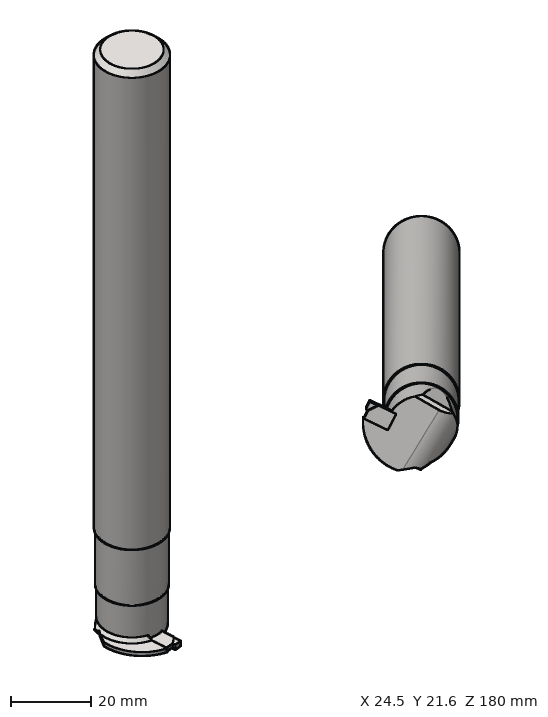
import cadquery as cq

TOTAL_LENGTH = 180
SHANK_DIAMETER = 19.0
NECK_DIAMETER = 18.5
HEAD_DIAMETER = 18
SHANK_BOTTOM = 30.6
NECK_BOTTOM = 13.0
TOP_CHAMFER = 1.6

PLATE_BOTTOM = 0.5
PLATE_TOP = 1.8
PLATE_RADIUS = 13.1
PLATE_CENTER_X = 2.3
PLATE_CENTER_Y = 1.0
ROOT_FLARE = 1.0
PLATE_END_INNER = (-3.6, -9)
PLATE_END_OUTER = (0, -11.9)

INSERT_INNER_X = 7.5
INSERT_OUTER_X = 14.2
INSERT_BACK_Y = 1.0
INSERT_WIDTH = 4.7
INSERT_FRONT_Y = INSERT_BACK_Y - INSERT_WIDTH
INSERT_ANGLE = -4
TIP_REACH = 15.0
TIP_WIDTH = 2.2
TIP_TOP = PLATE_TOP - 0.2
TIP_LENGTH = 1.6

ROUND_TOP = 8.0
ROUND_MIDDLE = (-6.0, 2.3)
ROUND_END_X = -1.0
BACK_RELIEF_TOP = 11.7
BACK_RELIEF_MIDDLE = (8.0, 1.8)
BACK_RELIEF_END_Y = 6.8

CUT_MARGIN = 9


def cylinder_between(diameter, bottom, top):
    return cq.Workplane("XY").workplane(offset=bottom).circle(diameter / 2).extrude(top - bottom)


def make_stepped_bar():
    shank = cylinder_between(SHANK_DIAMETER, SHANK_BOTTOM, TOTAL_LENGTH)
    shank = shank.faces(">Z").chamfer(TOP_CHAMFER)
    neck = cylinder_between(NECK_DIAMETER, NECK_BOTTOM, SHANK_BOTTOM)
    head = cylinder_between(HEAD_DIAMETER, PLATE_BOTTOM, NECK_BOTTOM)
    return shank.union(neck).union(head)


def make_plate():
    disc = (
        cq.Workplane("XY")
        .workplane(offset=PLATE_BOTTOM)
        .center(PLATE_CENTER_X, PLATE_CENTER_Y)
        .circle(PLATE_RADIUS)
        .extrude(PLATE_TOP - PLATE_BOTTOM)
    )
    root = (
        cq.Workplane("XY")
        .workplane(offset=PLATE_TOP)
        .circle(HEAD_DIAMETER / 2 + ROOT_FLARE)
        .workplane(offset=ROOT_FLARE)
        .circle(HEAD_DIAMETER / 2)
        .loft(ruled=True)
    )
    front_side = (
        cq.Workplane("XY")
        .box(4 * PLATE_RADIUS, 2 * PLATE_RADIUS, 2 * NECK_BOTTOM)
        .translate((0, INSERT_FRONT_Y - PLATE_RADIUS, 0))
        .rotate((0, 0, 0), (0, 0, 1), INSERT_ANGLE)
    )
    end_trim = (
        cq.Workplane("XY")
        .moveTo(*PLATE_END_INNER)
        .lineTo(*PLATE_END_OUTER)
        .lineTo(PLATE_END_OUTER[0], -2 * PLATE_RADIUS)
        .lineTo(-2 * PLATE_RADIUS, -2 * PLATE_RADIUS)
        .lineTo(-2 * PLATE_RADIUS, PLATE_END_INNER[1])
        .close()
        .extrude(NECK_BOTTOM)
    )
    return disc.union(root).intersect(front_side).cut(end_trim)


def make_round_relief():
    """Rounded heel removed from the -X side of the lower end."""
    outer_x = -SHANK_DIAMETER / 2 - CUT_MARGIN
    return (
        cq.Workplane("XZ")
        .moveTo(-HEAD_DIAMETER / 2, ROUND_TOP)
        .threePointArc(ROUND_MIDDLE, (ROUND_END_X, PLATE_BOTTOM))
        .lineTo(ROUND_END_X, -CUT_MARGIN)
        .lineTo(outer_x, -CUT_MARGIN)
        .lineTo(outer_x, ROUND_TOP)
        .close()
        .extrude(SHANK_DIAMETER, both=True)
    )


def make_back_relief():
    """Sloping clearance removed from the +Y side of the head."""
    outer_y = SHANK_DIAMETER / 2 + CUT_MARGIN
    return (
        cq.Workplane("YZ")
        .moveTo(HEAD_DIAMETER / 2, BACK_RELIEF_TOP)
        .lineTo(*BACK_RELIEF_MIDDLE)
        .lineTo(BACK_RELIEF_END_Y, PLATE_BOTTOM)
        .lineTo(BACK_RELIEF_END_Y, -CUT_MARGIN)
        .lineTo(outer_y, -CUT_MARGIN)
        .lineTo(outer_y, BACK_RELIEF_TOP)
        .close()
        .extrude(SHANK_DIAMETER, both=True)
    )


def make_insert():
    """Flat blade with a cutting tip set slightly lower than the blade."""
    blade = (
        cq.Workplane("XY")
        .workplane(offset=PLATE_BOTTOM)
        .moveTo(INSERT_INNER_X, INSERT_BACK_Y)
        .lineTo(INSERT_OUTER_X - TIP_LENGTH, INSERT_BACK_Y)
        .lineTo(INSERT_OUTER_X, INSERT_BACK_Y - TIP_WIDTH)
        .lineTo(INSERT_OUTER_X, INSERT_FRONT_Y)
        .lineTo(INSERT_INNER_X, INSERT_FRONT_Y)
        .close()
        .extrude(PLATE_TOP - PLATE_BOTTOM)
    )
    tip = (
        cq.Workplane("XY")
        .moveTo(TIP_REACH, INSERT_BACK_Y)
        .lineTo(TIP_REACH, INSERT_BACK_Y - TIP_WIDTH)
        .lineTo(INSERT_OUTER_X, INSERT_BACK_Y - TIP_WIDTH)
        .lineTo(INSERT_OUTER_X - TIP_LENGTH, INSERT_BACK_Y)
        .close()
        .extrude(TIP_TOP)
    )
    return blade.union(tip).rotate((0, 0, 0), (0, 0, 1), INSERT_ANGLE)


insert = make_insert()
bar = make_stepped_bar().union(make_plate())
bar = bar.cut(make_round_relief()).cut(make_back_relief()).cut(insert)

result = cq.Compound.makeCompound([bar.val(), insert.val()])